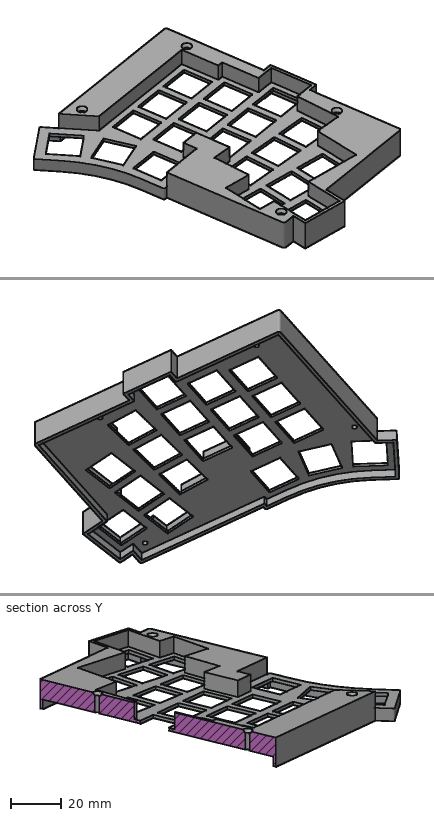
import cadquery as cq
import math


case_height = 12.5
plate_top = 5.5
plate_thickness = 1.5
plate_bottom = plate_top - plate_thickness

body_length = 116.2
body_width = 78.7
wall = 1.5
corner_radius = 1.0
fan_corner_radius = 0.7

switch_size = 13.8
key_pitch_x = 18.0
key_pitch_y = 17.0
cell_half_x = 9.8
cell_half_y = 9.5
rows = 3

first_column_x = 23.8
pinky_angle = -10
pinky_x = 97.5
pinky_y = 29.8
columns = [
    (first_column_x, 43.9, 0),
    (first_column_x + key_pitch_x, 46.6, 0),
    (first_column_x + 2 * key_pitch_x, 55.1, 0),
    (79.2, 45.0, -4),
    (pinky_x, pinky_y, pinky_angle),
]
index_column = columns[1]
middle_column = columns[2]
leaning_columns = columns[3:]
gap_overlap = 2.7

outer_key_drop = 9.3
lean = math.radians(pinky_angle)
outer_key = (
    pinky_x + key_pitch_x * math.cos(lean) + outer_key_drop * math.sin(lean),
    pinky_y + key_pitch_x * math.sin(lean) - outer_key_drop * math.cos(lean),
    pinky_angle,
)

thumb_x = 46.9
thumb_y = 9.2
thumb_radius = 76.5
thumb_step = 15
thumb_count = 3
fan_centre_y = thumb_y - thumb_radius

screw_hole_diameter = 2.0
screw_head_diameter = 4.3
countersink_angle = 80
screw_points = [(14.1, 73.6), (88.1, 73.6), (5.7, 14.5), (110.6, 5.5)]


def turned_box(place, size_x, size_y, z_low, z_high):
    """Upright box centred on place = (x, y, angle)."""
    x, y, angle = place
    box = cq.Workplane("XY").box(size_x, size_y, z_high - z_low, centered=(True, True, False))
    return box.rotate((0, 0, 0), (0, 0, 1), angle).translate((x, y, z_low))


def key_block(place, key_rows, margin, z_low, z_high):
    """Clearance box around a column of keys, grown by margin on each side."""
    size_x = 2 * (cell_half_x + margin)
    size_y = (key_rows - 1) * key_pitch_y + 2 * (cell_half_y + margin)
    return turned_box(place, size_x, size_y, z_low, z_high)


def fan_point(angle, side, radius):
    """Point at a radius from the fan centre and a sideways offset, turned by angle degrees."""
    turn = math.radians(angle)
    x = thumb_x + side * math.cos(turn) - radius * math.sin(turn)
    y = fan_centre_y + side * math.sin(turn) + radius * math.cos(turn)
    return x, y


def thumb_fan(margin, z_low, z_high):
    """Area around the thumb keys, reaching up into the first finger columns."""
    half_x = cell_half_x + margin
    inner = thumb_radius - cell_half_y - margin
    outer = thumb_radius + cell_half_y + margin
    last_angle = (thumb_count - 1) * thumb_step
    top_left = fan_point(last_angle, -half_x, outer)
    column_left = first_column_x - cell_half_x
    rise = (column_left - top_left[0]) * math.tan(math.radians(last_angle))
    fan_top = index_column[1] - key_pitch_y - cell_half_y
    return (
        cq.Workplane("XY", origin=(0, 0, z_low))
        .moveTo(*fan_point(0, half_x, inner))
        .lineTo(*fan_point(0, 0, inner))
        .threePointArc(fan_point(last_angle / 2, 0, inner), fan_point(last_angle, 0, inner))
        .lineTo(*fan_point(last_angle, -half_x, inner))
        .lineTo(*top_left)
        .lineTo(column_left, top_left[1] + rise)
        .lineTo(column_left, fan_top)
        .lineTo(thumb_x + half_x, fan_top)
        .close()
        .extrude(z_high - z_low)
    )


def body_block(inset, z_low, z_high):
    """Main rectangle, moved inward by inset on each side."""
    centre = (body_length / 2, body_width / 2, 0)
    return turned_box(centre, body_length - 2 * inset, body_width - 2 * inset, z_low, z_high)


def outer_shape():
    """Solid case outline before hollowing: full-height body and the lower thumb fan."""
    shape = body_block(0, 0, case_height).edges("|Z").fillet(corner_radius)
    shape = shape.union(key_block(middle_column, rows, wall, 0, case_height))
    shape = shape.union(key_block(outer_key, 1, wall, 0, case_height))
    fan = thumb_fan(wall, 0, plate_top)
    fan = fan.edges("|Z and (<X or <Y)").fillet(fan_corner_radius)
    fan = fan.edges("|Z and >X").edges("<Y").fillet(fan_corner_radius)
    return shape.union(fan)


def gap_block(column):
    """Upper two cells of a leaning column, moved left to close the wedge beside its neighbour."""
    x, y, angle = column
    turn = math.radians(angle)
    rise = key_pitch_y / 2
    moved_x = x - gap_overlap * math.cos(turn) - rise * math.sin(turn)
    moved_y = y - gap_overlap * math.sin(turn) + rise * math.cos(turn)
    return key_block((moved_x, moved_y, angle), rows - 1, 0, plate_top, case_height)


def key_well():
    """Space above the switch plate, open at the top."""
    well = thumb_fan(wall, plate_top, case_height)
    for column in columns:
        well = well.union(key_block(column, rows, 0, plate_top, case_height))
    for column in leaning_columns:
        well = well.union(gap_block(column))
    return well.union(key_block(outer_key, 1, 0, plate_top, case_height))


def underside_cavity():
    """Space below the switch plate, open at the bottom."""
    cavity = body_block(wall, 0, plate_bottom)
    cavity = cavity.union(key_block(middle_column, rows, 0, 0, plate_bottom))
    cavity = cavity.union(key_block(outer_key, 1, 0, 0, plate_bottom))
    return cavity.union(thumb_fan(0, 0, plate_bottom))


def key_places():
    """Centre and angle of every switch opening."""
    places = [outer_key]
    for x, y, angle in columns:
        turn = math.radians(angle)
        for row in range(rows):
            step = (row - (rows - 1) / 2) * key_pitch_y
            places.append((x - step * math.sin(turn), y + step * math.cos(turn), angle))
    for index in range(thumb_count):
        angle = index * thumb_step
        places.append((*fan_point(angle, 0, thumb_radius), angle))
    return places


result = outer_shape().cut(key_well()).cut(underside_cavity())

for place in key_places():
    result = result.cut(turned_box(place, switch_size, switch_size, plate_bottom, plate_top))

result = (
    result.faces(">Z").workplane(origin=(0, 0, case_height))
    .pushPoints(screw_points)
    .cskHole(screw_hole_diameter, screw_head_diameter, countersink_angle)
)